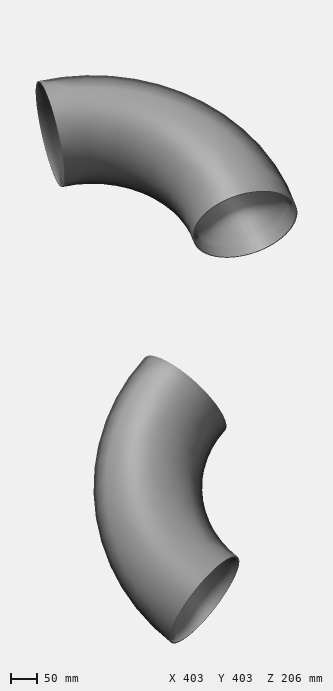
import cadquery as cq

overall_length = 403.0
outer_diameter = 206.0
wall_thickness = 3.0
bend_angle = 90.0

outer_radius = outer_diameter / 2
inner_radius = outer_radius - wall_thickness
bend_radius = overall_length - outer_radius

ring = cq.Workplane("XZ").circle(outer_radius).circle(inner_radius)
bend_axis_start = (bend_radius, 0)
bend_axis_end = (bend_radius, -1)
result = ring.revolve(bend_angle, bend_axis_start, bend_axis_end)